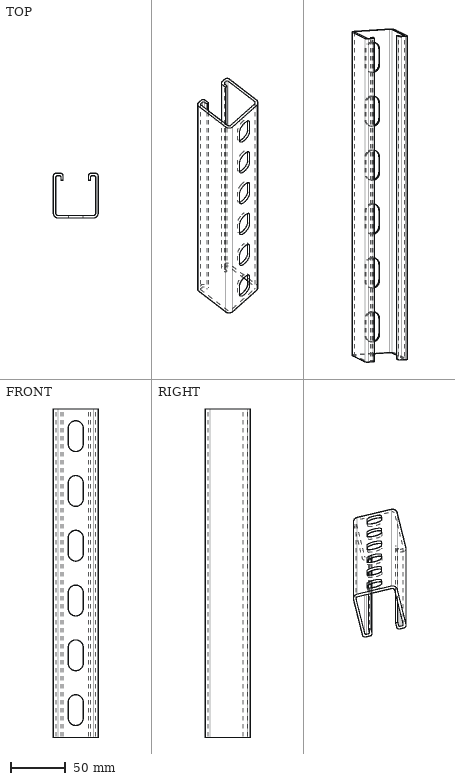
import cadquery as cq

length = 300.0
side = 41.0
wall = 2.5
web_bend_radius = 4.5
flange_bend_radius = 2.7
lip_inner_radius = 1.2
lip_outer_radius = 2.5
lip_reach = 9.0
lip_depth = 6.5
lip_thickness = 2.0
slot_count = 6
slot_length = 28.0
slot_width = 13.5

half_side = side / 2
inner_half = half_side - wall
lip_edge = half_side - lip_reach
lip_inner_face = lip_edge + lip_thickness
flange_end = lip_inner_face + 2 * lip_inner_radius
lip_tip = half_side - lip_depth
slot_pitch = length / slot_count


def bar(x_min, x_max, y_min, y_max):
    """Full-length rectangular bar between the given X and Y limits."""
    x_center = (x_min + x_max) / 2
    y_center = (y_min + y_max) / 2
    return cq.Workplane("XY").center(x_center, y_center).rect(x_max - x_min, y_max - y_min).extrude(length)


def box_section():
    """Closed square tube with its outside bends rounded and a cavity of even wall."""
    outer = bar(-half_side, half_side, -half_side, half_side)
    outer = outer.edges("|Z and <Y").fillet(web_bend_radius)
    outer = outer.edges("|Z and >Y").fillet(flange_bend_radius)
    cavity = bar(-inner_half, inner_half, -inner_half, inner_half)
    cavity = cavity.edges("|Z and <Y").fillet(web_bend_radius - wall)
    cavity = cavity.edges("|Z and >Y").fillet(lip_inner_radius)
    return outer.cut(cavity)


def right_lip():
    """Edge of the +X flange turned down into the channel, with both sides of its bend rounded."""
    top = bar(lip_edge, flange_end, inner_half, half_side)
    leg = bar(lip_edge, lip_inner_face, lip_tip, half_side)
    outer_corner = cq.selectors.NearestToPointSelector((lip_edge, half_side, length / 2))
    inner_corner = cq.selectors.NearestToPointSelector((lip_inner_face, inner_half, length / 2))
    lip = top.union(leg)
    lip = lip.edges("|Z").edges(inner_corner).fillet(lip_inner_radius)
    return lip.edges("|Z").edges(outer_corner).fillet(lip_outer_radius)


def channel():
    """C-shaped rail open toward +Y, with both flange edges turned inward."""
    opening = bar(-flange_end, flange_end, inner_half - wall, half_side)
    lip = right_lip()
    return box_section().cut(opening).union(lip).union(lip.mirror("YZ"))


def web_slots():
    """Row of lengthwise slots through the web, half a pitch from each end."""
    return (
        cq.Workplane("XZ", origin=(0, -inner_half + wall, length / 2))
        .rarray(3, slot_pitch, 1, slot_count)
        .slot2D(slot_length, slot_width, 90)
        .extrude(3 * wall)
    )


result = channel().cut(web_slots())